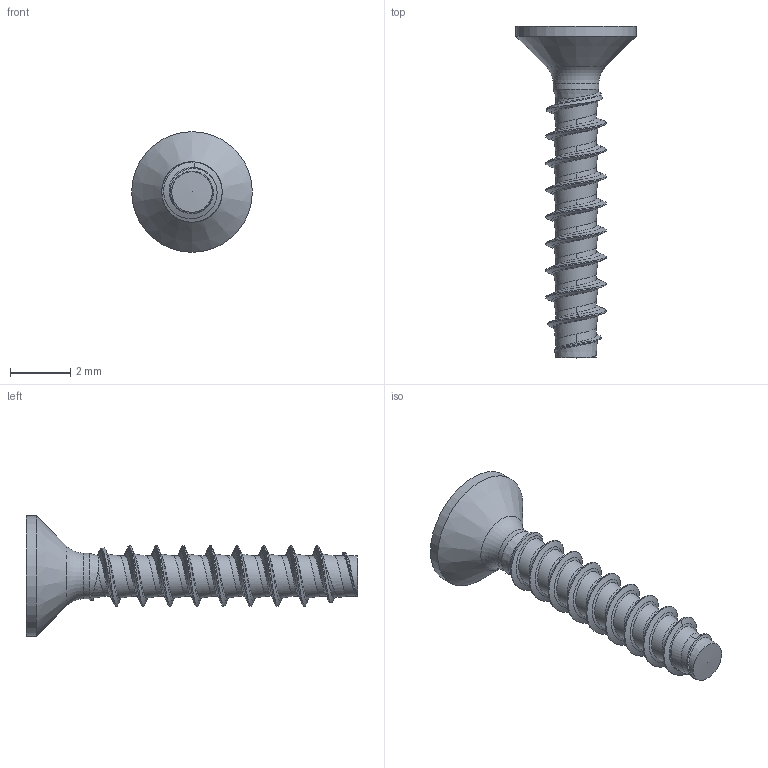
import math

import cadquery as cq


full_turn = 360

head_diameter = 4.0
screw_length = 11.0

head_radius = head_diameter / 2
rim_thickness = 0.34
cone_half_angle = math.radians(45)
neck_radius = 0.755
neck_fillet_radius = 0.8
neck_end = 2.09

core_radius = 0.67
core_start = 2.39
tip_cone_height = 0.02

thread_pitch = 0.89
thread_radius = 1.0
thread_base_radius = 0.55
crest_half_width = 0.02
flank_break_radius = 0.82
flank_break_half_width = 0.09
leading_base_offset = 0.22
trailing_base_offset = 0.19
first_crest = 2.32 - thread_pitch

relief_base_radius = 0.6
relief_radius = 0.75
relief_end_radius = 0.665
relief_end_offset = 0.58

run_in_radius = 0.79
run_in_end = 2.83
run_out_start = 9.65
run_out_length = 1.6
envelope_radius = 1.1
tip_face = screw_length - tip_cone_height


def screw_blank():
    """Head, filleted neck and core as one solid of revolution."""
    fillet_drop = neck_fillet_radius * (1 - math.cos(cone_half_angle))
    fillet_length = neck_fillet_radius * math.sin(cone_half_angle)
    cone_end_radius = neck_radius + fillet_drop
    cone_end = rim_thickness + (head_radius - cone_end_radius) / math.tan(cone_half_angle)
    fillet_end = cone_end + fillet_length

    half_angle = cone_half_angle / 2
    fillet_middle = (
        neck_radius + neck_fillet_radius * (1 - math.cos(half_angle)),
        fillet_end - neck_fillet_radius * math.sin(half_angle),
    )
    return (
        cq.Workplane("XZ")
        .moveTo(0, 0)
        .lineTo(head_radius, 0)
        .lineTo(head_radius, rim_thickness)
        .lineTo(cone_end_radius, cone_end)
        .threePointArc(fillet_middle, (neck_radius, fillet_end))
        .lineTo(neck_radius, neck_end)
        .lineTo(core_radius, core_start)
        .lineTo(core_radius, tip_face)
        .lineTo(0, screw_length)
        .close()
        .revolve(full_turn, (0, 0, 0), (0, 1, 0))
    )


def thread_profile():
    """Section of the ridge, with flanks that widen towards the core."""
    outline = [
        (thread_base_radius, -leading_base_offset),
        (flank_break_radius, -flank_break_half_width),
        (thread_radius, -crest_half_width),
        (thread_radius, crest_half_width),
        (flank_break_radius, flank_break_half_width),
        (thread_base_radius, trailing_base_offset),
    ]
    return cq.Workplane("XZ").polyline(outline).close()


def relief_profile():
    """Section of the sloping root, starting under the thread crest."""
    outline = [
        (relief_base_radius, 0),
        (relief_radius, 0),
        (relief_end_radius, relief_end_offset),
        (relief_base_radius, relief_end_offset),
    ]
    return cq.Workplane("XZ").polyline(outline).close()


def helical_sweep(profile, end):
    """Right-handed sweep at constant radius, from the first crest inside the neck to Z = end."""
    helix = cq.Wire.makeHelix(thread_pitch, end - first_crest, thread_radius)
    ridge = profile.sweep(cq.Workplane(helix), isFrenet=True)
    return ridge.translate((0, 0, first_crest))


def run_out_thread():
    """Continuation of the ridge along a narrowing helix, so that it sinks into the core."""
    sink_angle = math.atan2(thread_radius - core_radius, tip_face - run_out_start)
    helix = cq.Wire.makeHelix(
        thread_pitch / math.cos(sink_angle),
        run_out_length,
        thread_radius,
        angle=-math.degrees(sink_angle),
    )
    ridge = thread_profile().sweep(cq.Workplane(helix), isFrenet=True)
    start_angle = full_turn * (run_out_start - first_crest) / thread_pitch
    return ridge.rotate((0, 0, 0), (0, 0, 1), start_angle).translate((0, 0, run_out_start))


def revolved(outline):
    """Solid of revolution about Z from (radius, Z) points."""
    return cq.Workplane("XZ").polyline(outline).close().revolve(full_turn, (0, 0, 0), (0, 1, 0))


def thread():
    """Complete thread: it rises behind the neck and is cut off at the tip."""
    run_in_slope = (run_in_end - neck_end) / (thread_radius - run_in_radius)
    envelope = revolved(
        [
            (0, neck_end),
            (run_in_radius, neck_end),
            (envelope_radius, run_in_end + (envelope_radius - thread_radius) * run_in_slope),
            (envelope_radius, tip_face),
            (0, tip_face),
        ]
    )
    ridge = helical_sweep(thread_profile(), run_out_start).union(run_out_thread())
    return ridge.intersect(envelope)


def relief():
    """Sloping root between the thread turns, tapering off towards the tip."""
    envelope = revolved(
        [
            (0, 0),
            (envelope_radius, 0),
            (relief_radius, run_out_start),
            (core_radius, tip_face),
            (0, tip_face),
        ]
    )
    return helical_sweep(relief_profile(), screw_length + thread_pitch).intersect(envelope)


blank = screw_blank().rotate((0, 0, 0), (0, 0, 1), full_turn / 4)
screw = blank.union(thread()).union(relief())
result = screw.rotate((0, 0, 0), (1, 0, 0), full_turn / 4)